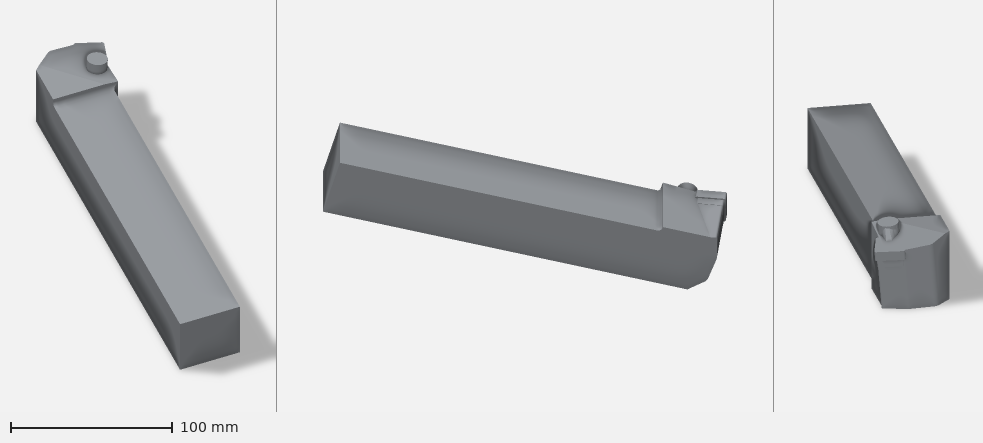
import cadquery as cq
import math

length = 249.8
shank_size = 40.0

head_end = 44.0
head_height = 45.2
head_width = 43.5
step_radius = 2.7
corner_chamfer = 16.5
corner_radius = 5.0
flank_bottom_x = 2.0

rake_angle = math.radians(8.2)
rake_start_x = 9.5
clearance = 75.0

insert_size = 19.0
insert_thickness = 6.2
insert_turn = -15.0
nose_radius = 1.2
insert_center = (11.0, 38.7)
shim_thickness = 5.0
shim_inset = 1.0
seat_inset = 1.2
seat_shoulder = 8.7
shoulder_radius = 4.0

clamp_center = (27.0, 36.2)
clamp_radius = 6.5
clamp_height = 7.2
nose_base = [(15.7, 40.5), (15.5, 36.7), (22.2, 31.5), clamp_center, (23.7, 41.5)]
nose_top = [(22.0, 39.0), (21.7, 37.0), (22.2, 31.7), clamp_center, (24.5, 41.2)]

tilt = math.sin(rake_angle) / math.sqrt(2)
rake_drop = rake_start_x / math.sqrt(2) * math.tan(rake_angle)
rake_plane = cq.Plane(
    origin=(0, 0, head_height - rake_drop),
    xDir=(math.cos(rake_angle), 0, tilt),
    normal=(-tilt, tilt, math.cos(rake_angle)),
)


def box(x_start, x_end, width, height):
    """Block resting on Z = 0 with its front face on Y = 0."""
    return cq.Workplane("XY").box(x_end - x_start, width, height, centered=False).translate((x_start, 0, 0))


def square_plate(depth_top, thickness, inset):
    """Rounded square below the rake plane, lined up with the insert."""
    size = insert_size - 2 * inset
    return (
        cq.Workplane(rake_plane)
        .workplane(offset=-depth_top)
        .center(*insert_center)
        .transformed(rotate=(0, 0, insert_turn))
        .rect(size, size)
        .extrude(-thickness)
        .edges(cq.selectors.ParallelDirSelector(rake_plane.zDir))
        .fillet(nose_radius)
    )


def make_shank_and_head_stock():
    stock = box(0, length, shank_size, shank_size).union(box(-clearance, head_end, head_width, head_height))
    step_edge = cq.selectors.NearestToPointSelector((head_end, shank_size / 2, shank_size))
    side_edge = cq.selectors.NearestToPointSelector((head_end, shank_size, shank_size / 2))
    return stock.edges(step_edge + side_edge).fillet(step_radius)


def on_seat_line(distance):
    """Point on the seat's outer edge line, measured along it from beside the insert center."""
    turn = math.radians(-insert_turn)
    offset = insert_size / 2 - seat_inset
    return (
        insert_center[0] - offset * math.cos(turn) + distance * math.sin(turn),
        insert_center[1] + offset * math.sin(turn) + distance * math.cos(turn),
    )


def make_head_envelope():
    """Prism square to the rake plane: 45 degree chamfer, leaning flank and outer edge of the seat."""
    far = length + 2 * clearance
    corner = (flank_bottom_x, corner_chamfer - flank_bottom_x)
    shoulder = on_seat_line(-seat_shoulder)
    prism = (
        cq.Workplane(rake_plane)
        .polyline([
            (corner_chamfer + clearance, -clearance),
            (far, -clearance),
            (far, clearance),
            on_seat_line(clearance / 2),
            shoulder,
            corner,
        ])
        .close()
        .extrude(clearance, both=True)
    )
    for point, radius in ((corner, corner_radius), (shoulder, shoulder_radius)):
        nearest = cq.selectors.NearestToPointSelector(rake_plane.toWorldCoords((*point, 0)).toTuple())
        prism = prism.edges(cq.selectors.ParallelDirSelector(rake_plane.zDir)).edges(nearest).fillet(radius)
    return prism


def above_rake_plane():
    """Material to remove above the rake plane, on the head only."""
    return (
        cq.Workplane(rake_plane)
        .rect(2 * clearance, 2 * clearance)
        .extrude(clearance)
        .intersect(box(-clearance, head_end, clearance, clearance))
    )


def make_clamp():
    """Round head, with a nose whose ramp runs from its tip up to the head's top."""
    head = cq.Workplane(rake_plane).center(*clamp_center).circle(clamp_radius).extrude(clamp_height)
    nose = (
        cq.Workplane(rake_plane)
        .polyline(nose_base)
        .close()
        .workplane(offset=clamp_height)
        .polyline(nose_top)
        .close()
        .loft(ruled=True)
    )
    return head.union(nose)


def make_holder(insert):
    stock = make_shank_and_head_stock().intersect(make_head_envelope()).cut(above_rake_plane())
    seat_depth = insert_thickness + shim_thickness
    shim = square_plate(insert_thickness, shim_thickness, shim_inset)
    seat = square_plate(seat_depth, clearance, seat_inset)
    seat = seat.intersect(box(-clearance, clearance, clearance, head_height))
    return stock.cut(insert).union(seat).union(shim).union(make_clamp()).solids()


insert = square_plate(0, insert_thickness, 0)
holder = make_holder(insert)
result = cq.Compound.makeCompound([holder.val(), insert.val()])